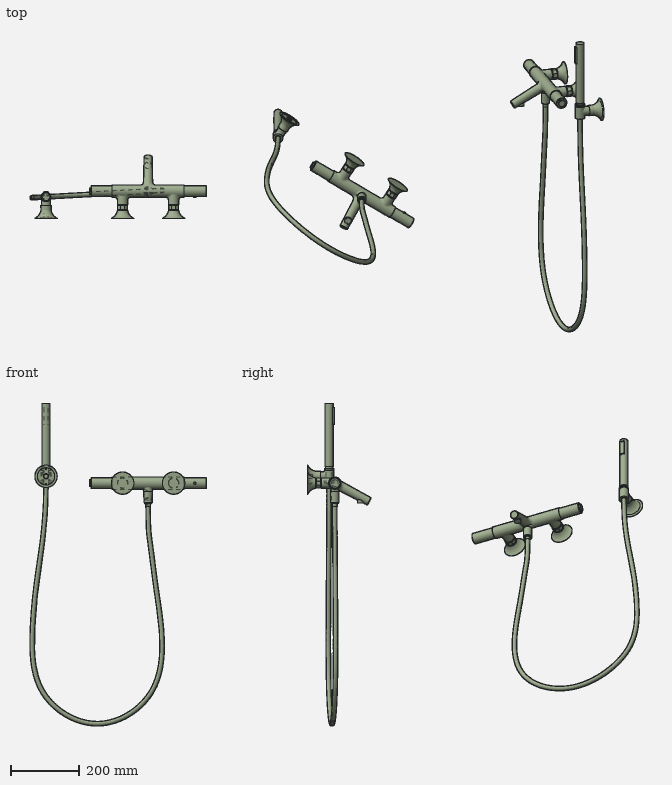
import cadquery as cq
import math


barrel_y = 80.8
foot_xs = (-75.0, 75.0)
holder_x = -300.0
shower_y = 64.0
holder_foot_z = 20.0

flange_radius = 33.1
flange_edge = 1.0
bell_length = 24.0
bell_hollow = 3.5

barrel_radius = 18.15
barrel_half_length = 106.0
handle_radius = 16.3
handle_end = 172.15
end_chamfer = 1.5
button_radius = 10.0
button_length = 4.0
pin_radius = 3.5
pin_x = 137.5
pin_rise = 2.0

neck_radius = 15.5
neck_blend = 8.0
groove_depth = 1.0
groove_width = 2.5
nut_start = bell_length + groove_width
nut_end = 39.0
nut_sides = 8
nut_across_flats = 30.0
neck_start = nut_end + groove_width

spout_drop = 28.0
spout_length = 115.1
spout_base_radius = 14.5
spout_tip_radius = 12.3
spout_blend = 12.0
tip_chamfer = 1.5
aerator_radius = 10.0
aerator_y = 157.0
aerator_bottom = -58.5
aerator_height = 14.0
outlet_bottom = -24.5
outlet_radius = 13.0
outlet_blend = 5.0

shower_radius = 12.2
shower_top = 234.28
shower_bottom = 48.5
spray_width = 12.0
spray_height = 50.0
spray_bottom = 172.5
spray_rise = 3.0
shower_neck_radius = 11.2
plug_radius = 9.0

hose_radius = 7.0
hose_reach = 190.25
hose_reach_z = -445.0
hose_turn_x = 160.0
hose_turn_z = -613.0
shower_side_points = [(-158.0, -150.0), (-176.0, -280.0)]
mixer_side_points = [(172.0, -299.0), (157.0, -184.0)]
hose_low_z = -707.1
hose_nut_radius = 12.3
hose_nut_length = 35.0
hose_nut_chamfer = 2.0
hose_nut_bottom = outlet_bottom - hose_nut_length
ferrule_radius = 7.3
ferrule_bottom = -69.0

sleeve_radius = 14.2
sleeve_bottom = 0.0
sleeve_top = 42.5
rim_groove_z = 37.0
rim_groove_width = 2.0
rim_groove_depth = 0.6
stem_radius = 13.5
stem_start = 38.0
stem_blend = 3.0
collar_radius = 15.5
recess_radius = 25.5
recess_depth = 2.0
screw_hole_radius = 6.0
screw_hole_depth = 15.0
hub_radius = 8.0
lug_width = 3.0
lug_length = 5.0


def rod(start, direction, length, radius):
    """Cylinder from a start point along a direction."""
    return cq.Workplane(obj=cq.Solid.makeCylinder(radius, length, cq.Vector(*start), cq.Vector(*direction)))


def wall_bell(x, z, top_radius):
    """Round flange and concave bell standing on the wall, around an axis along Y."""
    rise = bell_length - flange_edge
    span = flange_radius - top_radius
    slant = math.hypot(rise, span)
    middle = (
        (flange_radius + top_radius) / 2 - bell_hollow * rise / slant,
        (flange_edge + bell_length) / 2 - bell_hollow * span / slant,
    )
    profile = (
        cq.Workplane("XY")
        .lineTo(flange_radius, 0)
        .lineTo(flange_radius, flange_edge)
        .threePointArc(middle, (top_radius, bell_length))
        .lineTo(0, bell_length)
        .close()
    )
    return profile.revolve(360, (0, 0, 0), (0, 1, 0)).translate((x, 0, z))


def barrel():
    return rod((-barrel_half_length, barrel_y, 0), (1, 0, 0), 2 * barrel_half_length, barrel_radius)


def barrel_with_branch(branch, blend):
    """Barrel joined to one branch, with the curve where they meet filleted."""
    return barrel().union(branch).edges("%BSPLINE").fillet(blend)


def spout_cone():
    angle = math.radians(spout_drop)
    direction = cq.Vector(0, math.cos(angle), -math.sin(angle))
    root = cq.Vector(0, barrel_y, 0)
    cone = cq.Solid.makeCone(spout_base_radius, spout_tip_radius, spout_length, root, direction)
    return cq.Workplane(obj=cone)


def spout():
    """Barrel with the tapered spout, its tip edge bevelled."""
    blended = barrel_with_branch(spout_cone(), spout_blend)
    return blended.faces(">Y").edges().chamfer(tip_chamfer)


def aerator():
    """Upright outlet under the spout tip, reaching up into the spout."""
    return rod((0, aerator_y, aerator_bottom), (0, 0, 1), aerator_height, aerator_radius)


def hose_outlet():
    """Barrel with the short outlet under its middle."""
    return barrel_with_branch(rod((0, barrel_y, 0), (0, 0, -1), -outlet_bottom, outlet_radius), outlet_blend)


def neck(x):
    """Barrel with one neck reaching back towards the wall."""
    return barrel_with_branch(
        rod((x, neck_start, 0), (0, 1, 0), barrel_y - neck_start, neck_radius), neck_blend
    )


def wall_connection(x):
    """Bell, octagonal nut and the grooves on both sides of the nut."""
    groove_radius = neck_radius - groove_depth
    core = rod((x, 0, 0), (0, 1, 0), neck_start, groove_radius)
    nut = (
        cq.Workplane("XZ")
        .polygon(nut_sides, nut_across_flats / math.cos(math.pi / nut_sides))
        .extrude(nut_start - nut_end)
        .rotate((0, 0, 0), (0, 1, 0), 180 / nut_sides)
        .translate((x, nut_start, 0))
    )
    return wall_bell(x, 0, neck_radius).union(core).union(nut)


def handles():
    grip = handle_end - barrel_half_length
    right = rod((barrel_half_length, barrel_y, 0), (1, 0, 0), grip, handle_radius)
    right = right.faces(">X").chamfer(end_chamfer)
    pin = rod((pin_x, barrel_y, 0), (0, -1, 0), handle_radius + pin_rise, pin_radius)
    left = rod((-barrel_half_length, barrel_y, 0), (-1, 0, 0), grip - button_length, handle_radius)
    left = left.faces("<X").chamfer(end_chamfer)
    button = rod((-handle_end, barrel_y, 0), (1, 0, 0), grip, button_radius)
    return [right.union(pin), left.union(button)]


def make_mixer():
    mixer = spout().union(hose_outlet())
    for x in foot_xs:
        mixer = mixer.union(neck(x)).union(wall_connection(x))
    mixer = mixer.union(aerator())
    for handle in handles():
        mixer = mixer.union(handle)
    return mixer


holder_foot = (holder_x, 0, holder_foot_z)


def holder_sleeve():
    """Upright sleeve, with a stem reaching back towards the wall."""
    height = sleeve_top - sleeve_bottom
    sleeve = rod((holder_x, shower_y, sleeve_bottom), (0, 0, 1), height, sleeve_radius)
    stem = rod(holder_foot, (0, 1, 0), shower_y, stem_radius)
    return sleeve.union(stem).edges("%BSPLINE").fillet(stem_blend)


def sleeve_bore():
    height = sleeve_top - sleeve_bottom
    return rod((holder_x, shower_y, sleeve_bottom), (0, 0, 1), height, plug_radius)


def rim_groove():
    """Shallow ring cut around the sleeve below its top edge."""
    start = (holder_x, shower_y, rim_groove_z)
    outer = rod(start, (0, 0, 1), rim_groove_width, sleeve_radius)
    return outer.cut(rod(start, (0, 0, 1), rim_groove_width, sleeve_radius - rim_groove_depth))


def wall_recess():
    """Recess in the back of the bell that leaves a hub and two lugs standing."""
    recess = rod(holder_foot, (0, 1, 0), recess_depth, recess_radius)
    recess = recess.cut(rod(holder_foot, (0, 1, 0), recess_depth, hub_radius))
    for side in (-1, 1):
        lug_z = holder_foot_z + side * (recess_radius - lug_length / 2)
        lug = cq.Workplane("XY").box(lug_width, recess_depth, lug_length)
        recess = recess.cut(lug.translate((holder_x, recess_depth / 2, lug_z)))
    return recess


def make_holder():
    collar = rod(holder_foot, (0, 1, 0), stem_start, collar_radius)
    bell = wall_bell(holder_x, holder_foot_z, collar_radius)
    holder = holder_sleeve().union(collar).union(bell)
    screw_hole = rod(holder_foot, (0, 1, 0), screw_hole_depth, screw_hole_radius)
    return holder.cut(sleeve_bore()).cut(rim_groove()).cut(wall_recess()).cut(screw_hole)


def hose():
    """Hanging loop in the upright plane through the shower axis and the barrel axis."""
    run_x = -holder_x
    run_y = barrel_y - shower_y
    run = math.hypot(run_x, run_y)
    stretch = run / run_x
    plane = cq.Plane(
        origin=(holder_x / 2, (shower_y + barrel_y) / 2, 0),
        xDir=(run_x, run_y, 0),
        normal=(run_y, -run_x, 0),
    )
    points = [
        (-run_x / 2, sleeve_bottom),
        *shower_side_points,
        (-hose_reach, hose_reach_z),
        (-hose_turn_x, hose_turn_z),
        (0, hose_low_z),
        (hose_turn_x, hose_turn_z),
        (hose_reach, hose_reach_z),
        *mixer_side_points,
        (run_x / 2, ferrule_bottom),
    ]
    in_plane = [(x * stretch, z) for x, z in points]
    path = cq.Workplane(plane).spline(in_plane, tangents=[(0, -1), (0, 1)])
    start = cq.Workplane("XY", origin=(holder_x, shower_y, sleeve_bottom))
    return start.circle(hose_radius).sweep(path)


def make_hand_shower():
    up = (0, 0, 1)
    tube = rod((holder_x, shower_y, shower_bottom), up, shower_top - shower_bottom, shower_radius)
    neck = rod((holder_x, shower_y, sleeve_top), up, shower_bottom - sleeve_top, shower_neck_radius)
    plug = rod((holder_x, shower_y, sleeve_bottom), up, sleeve_top - sleeve_bottom, plug_radius)
    spray_depth = shower_radius + spray_rise
    spray = cq.Workplane("XY").box(spray_width, spray_depth, spray_height, centered=(True, False, False))
    spray = spray.translate((holder_x, shower_y, spray_bottom))
    nut = rod((0, barrel_y, hose_nut_bottom), up, hose_nut_length, hose_nut_radius)
    nut = nut.faces("<Z").chamfer(hose_nut_chamfer)
    ferrule = rod((0, barrel_y, ferrule_bottom), up, hose_nut_bottom - ferrule_bottom, ferrule_radius)
    return tube.union(neck).union(plug).union(spray).union(hose()).union(nut).union(ferrule)


mixer = make_mixer()
holder = make_holder()
hand_shower = make_hand_shower()

result = cq.Compound.makeCompound(
    [*mixer.solids().vals(), *holder.solids().vals(), *hand_shower.solids().vals()]
)